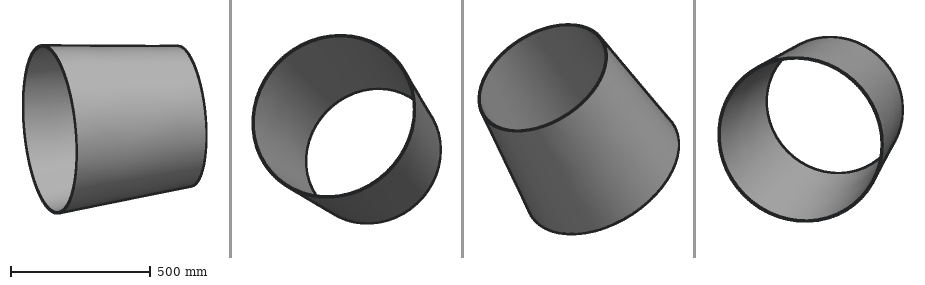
import cadquery as cq

large_diameter = 608.0
small_diameter = 508.0
length = 508.0
wall = 5.0

large_radius = large_diameter / 2
small_radius = small_diameter / 2

wall_section = [
    (large_radius, -length / 2),
    (small_radius, length / 2),
    (small_radius - wall, length / 2),
    (large_radius - wall, -length / 2),
]

result = cq.Workplane("XY").polyline(wall_section).close().revolve(360, (0, 0, 0), (0, 1, 0))